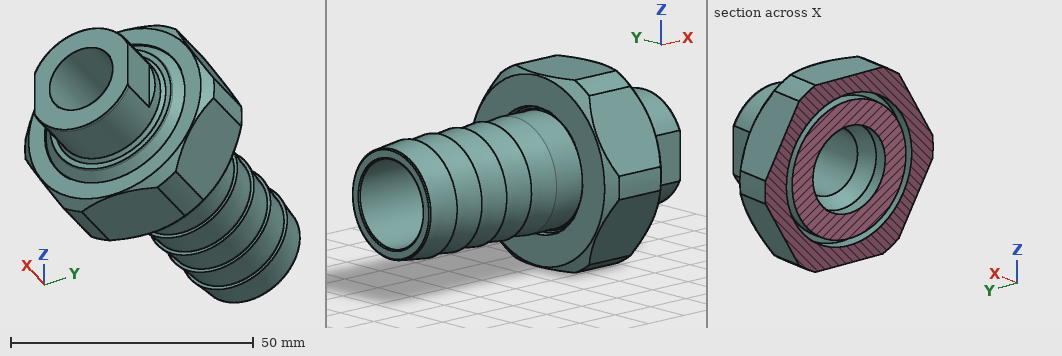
import cadquery as cq
import math


length = 71.5
nut_start = 41.5
nut_end = 57.35
nut_lip = 2.85
joint_x = 50.05

tail_diameter = 25.0
barb_root_diameter = 23.5
barb_count = 5
barb_pitch = 7.0
barb_land = 0.35
tip_chamfer = 0.3
tail_bore = 19.0
bore_chamfer = 0.3
shoulder_diameter = 26.5
shoulder_start = 42.9
shoulder_foot = 0.3
flange_diameter = 30.3

across_flats = 41.0
corner_diameter = 44.7
nut_hole = 27.0
thread_diameter = 33.1
tail_side_chamfer = 2.15
adapter_side_chamfer = 2.0

collar_end = 59.1
collar_chamfer = 2.1
collar_edge_length = 0.3
collar_edge_depth = 0.2
spigot_diameter = 24.5
neck_chamfer = 0.8
end_chamfer_length = 0.4
end_chamfer_depth = 0.15
adapter_bore = 14.95
bore_taper_length = 3.6
wrench_flats = 22.0
wrench_start = 62.55
wrench_wall_angle = 15.0


def revolve_profile(points):
    """Turn a closed (x, radius) outline about the X axis."""
    outline = cq.Workplane("XZ").polyline(points).close()
    return outline.revolve(360, (0, 0, 0), (1, 0, 0))


def make_hose_tail():
    tail_r = tail_diameter / 2
    root_r = barb_root_diameter / 2
    bore_r = tail_bore / 2
    points = [
        (bore_chamfer, bore_r),
        (0, bore_r + bore_chamfer),
        (0, root_r - tip_chamfer),
        (tip_chamfer, root_r),
    ]
    for barb in range(1, barb_count):
        crest_x = barb * barb_pitch
        points += [(crest_x, tail_r), (crest_x, root_r), (crest_x + barb_land, root_r)]
    flange_start = nut_start + nut_lip
    points += [
        (barb_count * barb_pitch, tail_r),
        (shoulder_start - shoulder_foot, tail_r),
        (shoulder_start, tail_r + shoulder_foot),
        (shoulder_start, shoulder_diameter / 2),
        (flange_start, shoulder_diameter / 2),
        (flange_start, flange_diameter / 2),
        (joint_x, flange_diameter / 2),
        (joint_x, bore_r),
    ]
    return revolve_profile(points)


def make_nut():
    corner_r = corner_diameter / 2
    width = nut_end - nut_start
    hexagon_diameter = across_flats / math.cos(math.pi / 6)
    hexagon = (
        cq.Workplane("YZ", origin=(nut_start, 0, 0))
        .polygon(6, hexagon_diameter)
        .extrude(width)
    )
    envelope = revolve_profile([
        (nut_start, 0),
        (nut_start, corner_r - tail_side_chamfer),
        (nut_start + tail_side_chamfer, corner_r),
        (nut_end - adapter_side_chamfer, corner_r),
        (nut_end, corner_r - adapter_side_chamfer),
        (nut_end, 0),
    ])
    lip_end = nut_start + nut_lip
    opening = revolve_profile([
        (nut_start, 0),
        (nut_start, nut_hole / 2),
        (lip_end, nut_hole / 2),
        (lip_end, thread_diameter / 2),
        (nut_end, thread_diameter / 2),
        (nut_end, 0),
    ])
    return hexagon.intersect(envelope).cut(opening)


def make_wrench_cut():
    """Cut for the wrench flat on the +Y side, with a slightly sloping end wall."""
    flat_y = wrench_flats / 2
    outer_y = spigot_diameter
    wall_run = (outer_y - flat_y) * math.tan(math.radians(wrench_wall_angle))
    return (
        cq.Workplane("XY")
        .polyline([
            (wrench_start, flat_y),
            (length, flat_y),
            (length, outer_y),
            (wrench_start - wall_run, outer_y),
        ])
        .close()
        .extrude(spigot_diameter / 2, both=True)
    )


def make_adapter():
    thread_r = thread_diameter / 2
    spigot_r = spigot_diameter / 2
    bore_r = adapter_bore / 2
    edge_x = collar_end - collar_edge_length
    edge_r = thread_r - collar_chamfer
    body = revolve_profile([
        (joint_x, tail_bore / 2),
        (joint_x, thread_r),
        (edge_x - collar_chamfer, thread_r),
        (edge_x, edge_r),
        (collar_end, edge_r - collar_edge_depth),
        (collar_end, spigot_r + neck_chamfer),
        (collar_end + neck_chamfer, spigot_r),
        (length - end_chamfer_length, spigot_r),
        (length, spigot_r - end_chamfer_depth),
        (length, bore_r),
        (joint_x + bore_taper_length, bore_r),
    ])
    wrench_cut = make_wrench_cut()
    return body.cut(wrench_cut).cut(wrench_cut.mirror("XZ"))


hose_tail = make_hose_tail()
nut = make_nut()
adapter = make_adapter()

result = cq.Compound.makeCompound([hose_tail.val(), nut.val(), adapter.val()])